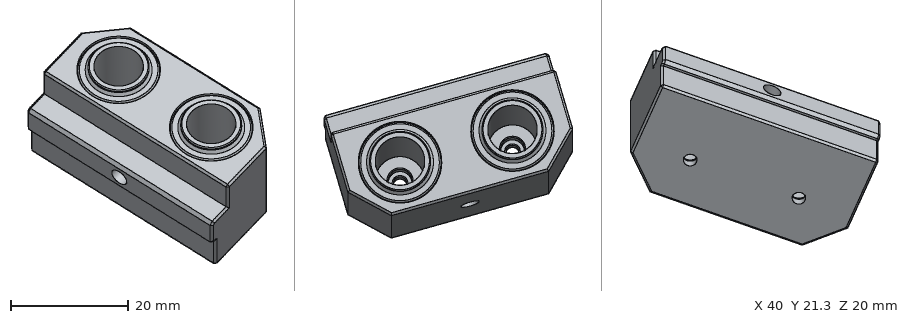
import cadquery as cq

block_length = 40.0
block_depth = 21.25
block_height = 19.0
upper_face_y = 4.5
lower_face_y = 1.0
rear_corner_cut = 6.0
edge_chamfer = 0.4

rail_mid_z = 10.0
rail_thickness = 5.9
rail_chamfer = 0.6
rail_bottom_z = rail_mid_z - rail_thickness / 2
rail_top_z = rail_mid_z + rail_thickness / 2
cross_hole_diameter = 3.2

bushing_pitch = 20.0
bushing_y = 12.75
bushing_diameter = 14.0
bushing_bore_diameter = 8.45
shoulder_chamfer = 0.3
collar_diameter = 10.45
collar_height = 1.0
collar_chamfer = 0.2
collar_cone_size = 0.5

pocket_floor_z = 4.0
lead_in_width = 0.14
lead_in_depth = 0.3
counterbore_diameter = 4.1
counterbore_depth = 2.0
floor_hole_diameter = 2.3
hole_chamfer = 0.2

bushing_centers = [(side * bushing_pitch / 2, bushing_y) for side in (-1, 1)]


def make_block_blank():
    """Stepped block with its rail and its rear corner cuts, and chamfered outer edges."""
    profile = [
        (lower_face_y, 0),
        (lower_face_y, rail_bottom_z),
        (rail_chamfer, rail_bottom_z),
        (0, rail_bottom_z + rail_chamfer),
        (0, rail_top_z - rail_chamfer),
        (rail_chamfer, rail_top_z),
        (upper_face_y, rail_top_z),
        (upper_face_y, block_height),
        (block_depth, block_height),
        (block_depth, 0),
    ]
    blank = cq.Workplane("YZ").polyline(profile).close().extrude(block_length / 2, both=True)
    blank = blank.edges("|Z and >Y").chamfer(rear_corner_cut)

    outer_edges = blank.faces(">Z or <Z or <X or >X").edges()
    front_verticals = outer_edges.edges("|Z").edges("not >Y")
    return outer_edges.edges("not |Z").add(front_verticals).chamfer(edge_chamfer)


def make_pocket_cutter():
    """Cutter for one pocket with its lead-in and the chamfered, counterbored hole through its floor."""
    pocket_radius = bushing_diameter / 2
    counterbore_radius = counterbore_diameter / 2
    hole_radius = floor_hole_diameter / 2
    step_z = pocket_floor_z - counterbore_depth
    outline = [
        (0, 0),
        (hole_radius, 0),
        (hole_radius, step_z - hole_chamfer),
        (hole_radius + hole_chamfer, step_z),
        (counterbore_radius, step_z),
        (counterbore_radius, pocket_floor_z - hole_chamfer),
        (counterbore_radius + hole_chamfer, pocket_floor_z),
        (pocket_radius, pocket_floor_z),
        (pocket_radius, block_height - lead_in_depth),
        (pocket_radius + lead_in_width, block_height),
        (0, block_height),
    ]
    return cq.Workplane("XZ").polyline(outline).close().revolve(360, (0, 0), (0, 1))


def make_block():
    """Block with the cross hole through its depth and the two bushing pockets."""
    block = make_block_blank()
    cross_hole = (
        cq.Workplane("XZ")
        .center(0, rail_mid_z)
        .circle(cross_hole_diameter / 2)
        .extrude(-block_depth)
    )
    block = block.cut(cross_hole)
    for x, y in bushing_centers:
        block = block.cut(make_pocket_cutter().translate((x, y, 0)))
    return block


def make_bushing(x, y):
    """Open tube with a chamfered shoulder and a raised collar on a conical foot."""
    bore_radius = bushing_bore_diameter / 2
    outer_radius = bushing_diameter / 2
    collar_radius = collar_diameter / 2
    collar_top_z = block_height + collar_height
    outline = [
        (bore_radius, pocket_floor_z),
        (outer_radius, pocket_floor_z),
        (outer_radius, block_height - shoulder_chamfer),
        (outer_radius - shoulder_chamfer, block_height),
        (collar_radius + collar_cone_size, block_height),
        (collar_radius, block_height + collar_cone_size),
        (collar_radius, collar_top_z - collar_chamfer),
        (collar_radius - collar_chamfer, collar_top_z),
        (bore_radius, collar_top_z),
    ]
    bushing = cq.Workplane("XZ").polyline(outline).close().revolve(360, (0, 0), (0, 1))
    return bushing.translate((x, y, 0))


block = make_block()
bushings = [make_bushing(x, y) for x, y in bushing_centers]

result = cq.Compound.makeCompound([block.val(), *[bushing.val() for bushing in bushings]])